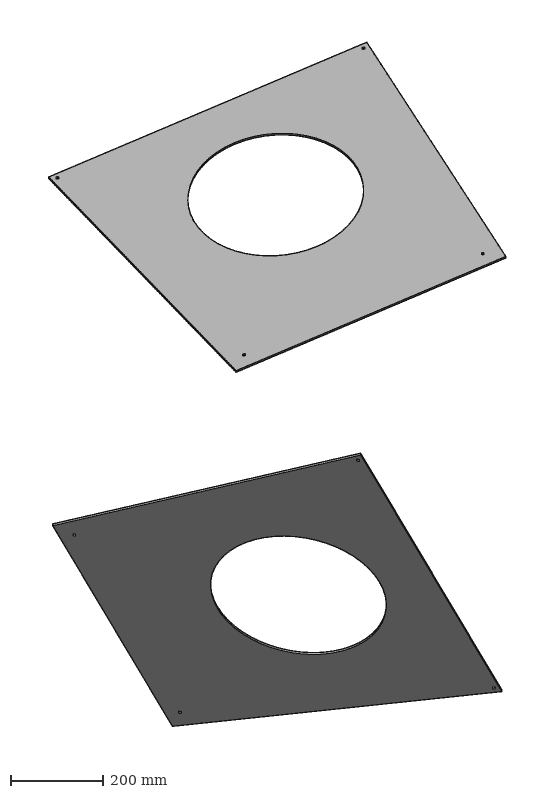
import cadquery as cq

length = 751.0
wide_edge = 782.0
narrow_edge = 663.5
height = 141.5
thickness = 6.0

opening_diameter = 381.0
opening_x = 313.0

screw_diameter = 6.3
wide_screw_inset = 12.5
wide_screw_spacing = 752.5
narrow_screw_inset = 34.5
narrow_screw_spacing = 587.0

rise = height - thickness


def vertical_cutter(diameter, points):
    """Cylinders along Z that pass through the full height of the tilted plate."""
    return cq.Workplane("XY").pushPoints(points).circle(diameter / 2).extrude(height)


slab = (
    cq.Workplane("XZ")
    .polyline([(0, 0), (length, rise), (length, height), (0, thickness)])
    .close()
    .extrude(wide_edge / 2, both=True)
)

outline = (
    cq.Workplane("XY")
    .polyline([
        (0, -wide_edge / 2),
        (length, -narrow_edge / 2),
        (length, narrow_edge / 2),
        (0, wide_edge / 2),
    ])
    .close()
    .extrude(height)
)
plate = slab.intersect(outline)

opening = vertical_cutter(opening_diameter, [(opening_x, 0)])
screw_points = []
for side in (-1, 1):
    screw_points.append((wide_screw_inset, side * wide_screw_spacing / 2))
    screw_points.append((length - narrow_screw_inset, side * narrow_screw_spacing / 2))
screw_holes = vertical_cutter(screw_diameter, screw_points)

result = plate.cut(opening).cut(screw_holes)